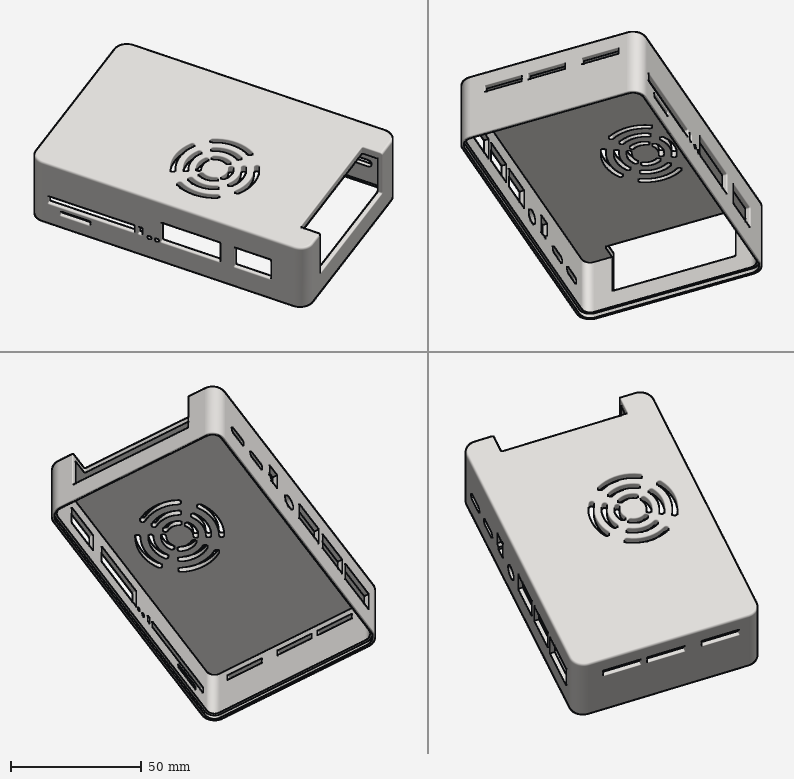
import cadquery as cq
import math

LENGTH = 119.4
WIDTH = 77.1
HEIGHT = 30.2
WALL = 2.0
ROOF = 3.3
CORNER_RADIUS = 5.6
TOP_RADIUS = 1.0
BOTTOM_RADIUS = 0.4
RABBET_DEPTH = 1.0
RABBET_HEIGHT = 2.0

RIM_RADIUS = 0.5
OPENING_RADIUS = 0.5
CUT_DEPTH = 2 * WALL
OVERSHOOT = 2.4

FRONT = -WIDTH / 2
BACK = WIDTH / 2
LEFT = -LENGTH / 2
RIGHT = LENGTH / 2

PORT_SILL = 9.9
PORT_TOP = 19.7
SLOT_SILL = 10.1
SLOT_TOP = 13.7
FRONT_OPENINGS = [
    (-51.6, -14.5, SLOT_SILL, SLOT_TOP),
    (-12.8, -11.1, SLOT_SILL, SLOT_TOP),
    (-46.3, -33.4, 6.1, 8.0),
    (-3.0, 22.5, PORT_SILL, PORT_TOP),
    (28.5, 44.3, PORT_SILL, PORT_TOP),
]
LED_X = [-7.9, -4.7]
LED_Z = 10.3
LED_DIAMETER = 1.7

RAISED_SILL = 10.9
BACK_OPENINGS = [
    (-50.7, -33.8, PORT_SILL, PORT_TOP),
    (-31.4, -17.2, RAISED_SILL, PORT_TOP),
    (-14.5, -0.2, RAISED_SILL, PORT_TOP),
]
JACK_X = 7.3
JACK_Z = 12.3
JACK_DIAMETER = 6.1
KEYED_LEFT, KEYED_RIGHT = 16.0, 21.6
KEYED_SILL = 11.3
KEY_STEP = 1.2
KEY_LOW, KEY_HIGH = 12.7, 13.7
PILL_CENTERS = [31.3, 44.8]
PILL_Z = 11.7
PILL_LENGTH = 9.1
PILL_HEIGHT = 3.2

VENT_Y = [19.0, 0.8, -21.6]
VENT_LENGTH = 15.5
VENT_Z = 21.9
VENT_HEIGHT = 3.0
VENT_CORNER_RADIUS = 0.2
VENT_RIM_RADIUS = 0.2

NOTCH_X = 51.1
NOTCH_Y_MIN, NOTCH_Y_MAX = -26.5, 25.3
NOTCH_SILL = PORT_SILL

FAN_X, FAN_Y = 6.3, -11.3
FAN_RADII = [6.2, 11.1, 16.1]
FAN_SLOT_WIDTH = 2.0
FAN_HALF_ANGLE = math.radians(30)
FAN_SLOTS_PER_RING = 4


def rounded_box(length, width, height, radius):
    return cq.Workplane("XY").rect(length, width).extrude(height).edges("|Z").fillet(radius)


def make_shell():
    outer = rounded_box(LENGTH, WIDTH, HEIGHT, CORNER_RADIUS)
    cavity = rounded_box(LENGTH - 2 * WALL, WIDTH - 2 * WALL, HEIGHT - ROOF, CORNER_RADIUS - WALL)
    lip = WALL - RABBET_DEPTH
    rabbet = rounded_box(LENGTH - 2 * lip, WIDTH - 2 * lip, RABBET_HEIGHT, CORNER_RADIUS - lip)
    outer = outer.faces(">Z").edges().fillet(TOP_RADIUS)
    outer = outer.faces("<Z").edges().fillet(BOTTOM_RADIUS)
    return outer.cut(cavity).cut(rabbet)


def rounded_cutter(plane, u_min, u_max, v_min, v_max, corner_radius, depth):
    """Cutter with rounded corners, running along the normal of the plane."""
    middle = ((u_min + u_max) / 2, (v_min + v_max) / 2)
    block = cq.Workplane(plane).center(*middle).rect(u_max - u_min, v_max - v_min).extrude(depth)
    return block.edges(cq.selectors.ParallelDirSelector(plane.zDir)).fillet(corner_radius)


def round_rims(body, face_selector, radius):
    """Round the outer rims of all openings in one flat outer face."""
    face = body.faces(face_selector).val()
    rims = [edge for wire in face.innerWires() for edge in wire.Edges()]
    return cq.Workplane(body.val().fillet(radius, rims))


def cut_front_openings(body):
    plane = cq.Plane(origin=(0, FRONT, 0), xDir=(-1, 0, 0), normal=(0, 1, 0))
    for x_min, x_max, z_min, z_max in FRONT_OPENINGS:
        body = body.cut(rounded_cutter(plane, -x_max, -x_min, z_min, z_max, OPENING_RADIUS, CUT_DEPTH))
    body = round_rims(body, "<Y", RIM_RADIUS)
    leds = cq.Workplane(plane).pushPoints([(-x, LED_Z) for x in LED_X]).circle(LED_DIAMETER / 2)
    return body.cut(leds.extrude(CUT_DEPTH))


def cut_back_openings(body):
    wall = cq.Workplane("XZ", origin=(0, BACK, 0))
    for x_min, x_max, z_min, z_max in BACK_OPENINGS:
        middle = ((x_min + x_max) / 2, (z_min + z_max) / 2)
        body = body.cut(wall.center(*middle).rect(x_max - x_min, z_max - z_min).extrude(CUT_DEPTH))
    body = body.cut(wall.center(JACK_X, JACK_Z).circle(JACK_DIAMETER / 2).extrude(CUT_DEPTH))
    keyed = [
        (KEYED_LEFT, PORT_TOP),
        (KEYED_LEFT, KEYED_SILL),
        (KEYED_RIGHT - KEY_STEP, KEYED_SILL),
        (KEYED_RIGHT - KEY_STEP, KEY_LOW),
        (KEYED_RIGHT, KEY_HIGH),
        (KEYED_RIGHT, PORT_TOP),
    ]
    body = body.cut(wall.polyline(keyed).close().extrude(CUT_DEPTH))
    pills = wall.pushPoints([(x, PILL_Z) for x in PILL_CENTERS]).slot2D(PILL_LENGTH, PILL_HEIGHT)
    return body.cut(pills.extrude(CUT_DEPTH))


def cut_vents(body):
    points = [(y, VENT_Z) for y in VENT_Y]
    vents = cq.Workplane("YZ", origin=(LEFT, 0, 0)).pushPoints(points).rect(VENT_LENGTH, VENT_HEIGHT)
    body = body.cut(vents.extrude(CUT_DEPTH).edges("|X").fillet(VENT_CORNER_RADIUS))
    return round_rims(body, "<X", VENT_RIM_RADIUS)


def cut_notch(body):
    roof_plane = cq.Plane(origin=(0, 0, HEIGHT), xDir=(1, 0, 0), normal=(0, 0, -1))
    wall_plane = cq.Plane(origin=(RIGHT, 0, 0), xDir=(0, -1, 0), normal=(-1, 0, 0))
    roof_cut = rounded_cutter(
        roof_plane, NOTCH_X, RIGHT + OVERSHOOT, -NOTCH_Y_MAX, -NOTCH_Y_MIN, OPENING_RADIUS, 2 * ROOF
    )
    wall_cut = rounded_cutter(
        wall_plane, -NOTCH_Y_MAX, -NOTCH_Y_MIN, NOTCH_SILL, HEIGHT + OVERSHOOT, OPENING_RADIUS, CUT_DEPTH
    )
    body = body.cut(roof_cut.union(wall_cut))
    margin = OPENING_RADIUS
    rim_zone = cq.selectors.BoxSelector(
        (NOTCH_X - margin, NOTCH_Y_MIN - margin, NOTCH_SILL - margin),
        (RIGHT + margin, NOTCH_Y_MAX + margin, HEIGHT + margin),
    )
    roof_rim = body.faces(">Z").edges(rim_zone)
    wall_rim = body.faces(">X").edges(rim_zone)
    return cq.Workplane(body.val().fillet(RIM_RADIUS, roof_rim.vals() + wall_rim.vals()))


def arc_slot(radius, width, z):
    """Closed round-ended slot outline along an arc about the Z axis, centred on the +X axis."""
    cap = width / 2

    def at(r, angle):
        return (r * math.cos(angle), r * math.sin(angle))

    def cap_tip(side):
        angle = side * FAN_HALF_ANGLE
        x, y = at(radius, angle)
        return (x - side * cap * math.sin(angle), y + side * cap * math.cos(angle))

    outer, inner = radius + cap, radius - cap
    return (
        cq.Workplane("XY", origin=(0, 0, z))
        .moveTo(*at(outer, -FAN_HALF_ANGLE))
        .threePointArc((outer, 0), at(outer, FAN_HALF_ANGLE))
        .threePointArc(cap_tip(1), at(inner, FAN_HALF_ANGLE))
        .threePointArc((inner, 0), at(inner, -FAN_HALF_ANGLE))
        .threePointArc(cap_tip(-1), at(outer, -FAN_HALF_ANGLE))
        .close()
    )


def cut_fan_grille(body):
    for radius in FAN_RADII:
        slot = arc_slot(radius, FAN_SLOT_WIDTH, HEIGHT).extrude(-2 * ROOF)
        for step in range(FAN_SLOTS_PER_RING):
            turned = slot.rotate((0, 0, 0), (0, 0, 1), step * 360 / FAN_SLOTS_PER_RING)
            body = body.cut(turned.translate((FAN_X, FAN_Y, 0)))
    return round_rims(body, ">Z", RIM_RADIUS)


result = make_shell()
result = cut_front_openings(result)
result = cut_back_openings(result)
result = cut_vents(result)
result = cut_fan_grille(result)
result = cut_notch(result)